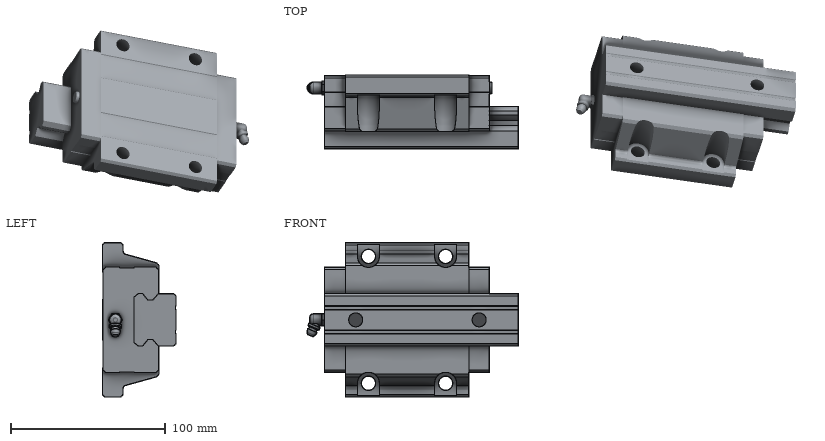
import cadquery as cq
import math


total_length = 137.0
total_depth = 48.0
total_width = 100.0

nipple_overhang = 11.2
rail_length = total_length - nipple_overhang
rail_half_width = 17.0
rail_base_chamfer = 1.6
rail_base_top = 11.5
waist_half_width = 12.9
waist_start = 15.2
waist_end = 18.5
head_start = 21.8
head_end = 24.7
rail_top = 27.5
rail_top_half_width = 14.5
base_groove_inner = 6.5
base_groove_outer = 9.2
rail_hole_diameter = 9.0
rail_hole_pitch = 80.0
rail_hole_first = 20.3

groove_depth = 0.4

block_start = 13.5
block_length = 80.0
block_half_width = total_width / 2
block_front = 11.1
flange_face = 34.4
flange_chamfer = 1.5
body_edge_y = 12.9
body_edge_z = 37.0
body_front_half_width = 35.2
flange_root_start = 44.8
flange_root_radius = 2.7
flange_root_sweep = 50
back_groove_inner = 13.0
back_groove_outer = 31.4

mount_hole_diameter = 9.0
mount_slot_width = 14.2
mount_seat_y = 34.8
mount_pitch_x = 50.0
mount_pitch_z = 82.2

left_cap_length = block_start
right_cap_length = 13.3
cap_half_width = 34.1
cap_chamfer = 1.6
cap_back = 47.4
cap_front = rail_base_top
side_groove_start = 27.1
side_groove_end = 36.8

nipple_y = 39.5
hex_across_flats = 8.0
hex_thickness = 1.6
elbow_diameter = 8.0
elbow_end = 9.6
elbow_round = 2.6
elbow_base_chamfer = 0.3
plug_height = 1.9

nozzle_tilt = 22.5
root_radius = 6.6 / 2
neck_radius = 5.5 / 2
collar_radius = 8.0 / 2
collar_start = 3.8
collar_end = 5.9
collar_bevel = 0.5
tip_radius = 6.6 / 2
tip_start = 7.5
tip_taper_radius = 2.7
tip_taper_end = 9.9
tip_end_radius = 2.0
tip_end = 11.1


def extrude_symmetric(half_outline, x_start, length):
    """Mirror a (Y, Z) half outline about Z = 0 and extrude it along +X."""
    mirrored = [(y, -z) for y, z in reversed(half_outline)]
    outline = cq.Workplane("YZ", origin=(x_start, 0, 0)).polyline(half_outline + mirrored).close()
    return outline.extrude(length)


def make_rail_bar():
    half_outline = [
        (0, base_groove_inner),
        (groove_depth, base_groove_inner + groove_depth),
        (groove_depth, base_groove_outer - groove_depth),
        (0, base_groove_outer),
        (0, rail_half_width - rail_base_chamfer),
        (rail_base_chamfer, rail_half_width),
        (rail_base_top, rail_half_width),
        (waist_start, waist_half_width),
        (waist_end, waist_half_width),
        (head_start, rail_half_width),
        (head_end, rail_half_width),
        (rail_top, rail_top_half_width),
    ]
    return extrude_symmetric(half_outline, 0, rail_length)


def make_rail():
    rail = make_rail_bar()
    for index in range(2):
        hole_x = rail_hole_first + index * rail_hole_pitch
        hole = cq.Workplane("XZ", origin=(hole_x, 0, 0)).circle(rail_hole_diameter / 2).extrude(-rail_top)
        rail = rail.cut(hole)
    return rail


def flange_root_point(sweep):
    """Point on the concave flange root arc, which starts tangent to the flange face."""
    angle = math.radians(sweep)
    y = flange_face - flange_root_radius * (1 - math.cos(angle))
    z = flange_root_start - flange_root_radius * math.sin(angle)
    return y, z


def make_block():
    """Block with two flanges; its upper half outline is drawn and mirrored about Z = 0."""
    flange_outline = [
        (total_depth, 0),
        (total_depth, back_groove_inner),
        (total_depth - groove_depth, back_groove_inner + groove_depth),
        (total_depth - groove_depth, back_groove_outer - groove_depth),
        (total_depth, back_groove_outer),
        (total_depth, block_half_width - flange_chamfer),
        (total_depth - flange_chamfer, block_half_width),
        (flange_face + flange_chamfer, block_half_width),
        (flange_face, block_half_width - flange_chamfer),
        (flange_face, flange_root_start),
    ]
    half_outline = (
        cq.Workplane("YZ", origin=(block_start, 0, 0))
        .polyline(flange_outline)
        .threePointArc(flange_root_point(flange_root_sweep / 2), flange_root_point(flange_root_sweep))
        .lineTo(body_edge_y, body_edge_z)
        .lineTo(block_front, body_front_half_width)
        .lineTo(block_front, 0)
    )
    return half_outline.mirrorX().extrude(block_length)


def cut_mount(block, x, side):
    """Cut a flat round-ended seat, open to the flange edge, and a through hole."""
    hole_z = mount_pitch_z / 2
    seat_plane = cq.Workplane("XZ", origin=(x, mount_seat_y, side * hole_z))
    seat_round = seat_plane.circle(mount_slot_width / 2).extrude(mount_seat_y)
    slot_run = block_half_width - hole_z
    run_plane = seat_plane.center(0, side * slot_run / 2)
    seat_run = run_plane.rect(mount_slot_width, slot_run).extrude(mount_seat_y)
    hole = seat_plane.circle(mount_hole_diameter / 2).extrude(-total_depth)
    return block.cut(seat_round).cut(seat_run).cut(hole)


def make_cap(x_start, length):
    half_outline = [
        (cap_back, cap_half_width - cap_chamfer),
        (cap_back - cap_chamfer, cap_half_width),
        (side_groove_end, cap_half_width),
        (side_groove_end - groove_depth, cap_half_width - groove_depth),
        (side_groove_start + groove_depth, cap_half_width - groove_depth),
        (side_groove_start, cap_half_width),
        (cap_front + cap_chamfer, cap_half_width),
        (cap_front, cap_half_width - cap_chamfer),
    ]
    return extrude_symmetric(half_outline, x_start, length)


def make_elbow():
    """Hexagon with corners along Y, then a round-nosed stub pointing to -X."""
    base_plane = cq.Workplane("YZ", origin=(0, nipple_y, 0))
    across_corners = hex_across_flats / math.cos(math.pi / 6)
    hexagon = base_plane.polygon(6, across_corners).extrude(-hex_thickness)
    hex_face = base_plane.workplane(offset=-hex_thickness)
    stub = hex_face.circle(elbow_diameter / 2).extrude(hex_thickness - elbow_end)
    stub = stub.faces("<X").edges().fillet(elbow_round)
    stub = stub.faces(">X").edges().chamfer(elbow_base_chamfer)
    return hexagon.union(stub)


def make_nozzle():
    """Turned nozzle, tilted from -Z towards -X so that its tip rounding ends the overhang."""
    tilt = math.radians(nozzle_tilt)
    taper_drop = tip_radius - tip_taper_radius
    taper_rise = tip_taper_end - tip_start
    rounding_radius = (taper_drop**2 + taper_rise**2) / (2 * taper_drop)
    rounding_centre = tip_radius - rounding_radius
    half_sweep = math.asin(taper_rise / rounding_radius) / 2
    rounding_middle = (
        rounding_centre + rounding_radius * math.cos(half_sweep),
        tip_start + rounding_radius * math.sin(half_sweep),
    )
    tip_reach = rounding_centre * math.cos(tilt) + tip_start * math.sin(tilt) + rounding_radius
    nozzle_x = tip_reach - nipple_overhang
    stem_outline = [
        (0, 0),
        (root_radius, 0),
        (root_radius, collar_start),
        (collar_radius, collar_start),
        (collar_radius, collar_end - collar_bevel),
        (collar_radius - collar_bevel, collar_end),
        (neck_radius, collar_end),
        (neck_radius, tip_start),
        (tip_radius, tip_start),
    ]
    nozzle_plane = cq.Plane(
        origin=(nozzle_x, nipple_y, 0),
        xDir=(math.cos(tilt), 0, -math.sin(tilt)),
        normal=(0, 1, 0),
    )
    profile = (
        cq.Workplane(nozzle_plane)
        .polyline(stem_outline)
        .threePointArc(rounding_middle, (tip_taper_radius, tip_taper_end))
        .lineTo(tip_end_radius, tip_end)
        .lineTo(0, tip_end)
        .close()
    )
    return profile.revolve(360, (0, 0), (0, 1))


def make_plug(x_face):
    """Domed plug: a ball centred on the cap face, cut flat at the plug height."""
    radius = elbow_diameter / 2
    mid_height = plug_height / 2
    mid_radius = math.sqrt(radius**2 - mid_height**2)
    flat_radius = math.sqrt(radius**2 - plug_height**2)
    profile = (
        cq.Workplane("XY", origin=(x_face, nipple_y, 0))
        .lineTo(0, radius)
        .threePointArc((mid_height, mid_radius), (plug_height, flat_radius))
        .lineTo(plug_height, 0)
        .close()
    )
    return profile.revolve(360, (0, 0), (1, 0))


def make_carriage():
    block = make_block()
    block_middle = block_start + block_length / 2
    for x in (block_middle - mount_pitch_x / 2, block_middle + mount_pitch_x / 2):
        for side in (1, -1):
            block = cut_mount(block, x, side)
    block_end = block_start + block_length
    carriage = block.union(make_cap(0, left_cap_length)).union(make_cap(block_end, right_cap_length))
    carriage = carriage.cut(make_rail_bar())
    plug = make_plug(block_end + right_cap_length)
    return carriage.union(make_elbow()).union(make_nozzle()).union(plug)


rail = make_rail()
carriage = make_carriage()
result = cq.Compound.makeCompound([rail.val(), *carriage.vals()])